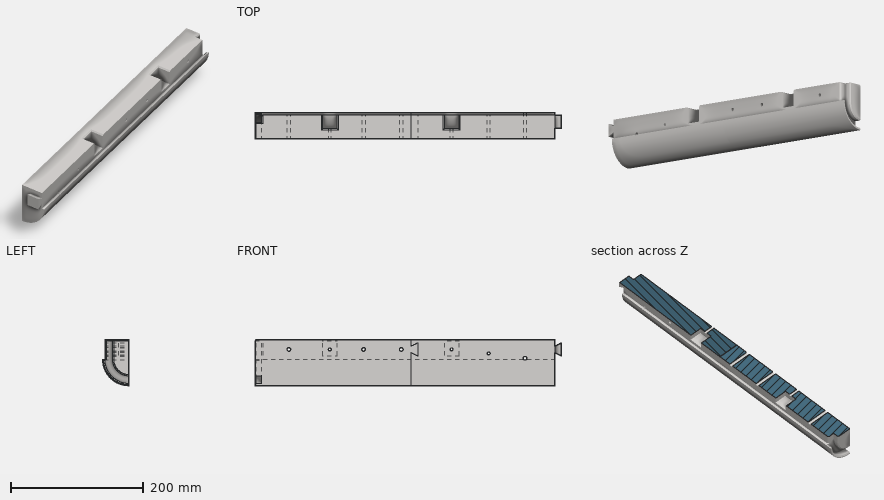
import cadquery as cq
import math

height = 70.0
base_radius = 40.0
lip_width = 4.0
upper_depth = base_radius - lip_width
joint_x = 236.0
end_x = 453.0

chamfer = 2.0
mouth_chamfer_depth = 1.3

edge_slack = 0.5

tongue_length = 10.0
tongue_root = 10.0
tongue_tip = 20.0
tongue_z = 55.0
end_tongue_depth = 20.0

groove_length = 10.0
groove_inner_radius = 25.0
groove_outer_radius = 36.5

notch_width = 22.0
notch_depth = 20.5
notch_floor_z = tongue_z - tongue_tip / 2
left_notch_x = 113.0
right_notch_x = 297.0

large_hole = 5.2
small_hole = 4.2
hole_z = tongue_z
left_holes = [
    (51.0, hole_z, large_hole),
    (left_notch_x, hole_z, small_hole),
    (164.0, hole_z, large_hole),
    (221.0, hole_z, large_hole),
]
right_holes = [
    (right_notch_x, hole_z, small_hole),
    (353.0, 49.0, small_hole),
    (408.0, 41.7, large_hole),
]


def block(x0, x1, y0, y1, z0, z1):
    """Axis-aligned box between two corners."""
    return cq.Workplane("XY").box(x1 - x0, y1 - y0, z1 - z0, centered=False).translate((x0, y0, z0))


def section_base(x0, x1, radius):
    """Quarter round centred on the front face at the height of the base radius."""
    diagonal = radius * math.sqrt(0.5)
    return (
        cq.Workplane("YZ", origin=(x0, 0, 0))
        .moveTo(0, base_radius)
        .lineTo(radius, base_radius)
        .threePointArc((diagonal, base_radius - diagonal), (0, base_radius - radius))
        .close()
        .extrude(x1 - x0)
    )


def section_prism(x0, x1, radius, upper_y):
    """Quarter round of the given radius with an upright block above it, from x0 to x1."""
    return section_base(x0, x1, radius).union(block(x0, x1, 0, upper_y, base_radius, height))


def dovetail(root_x, y0, y1):
    """Tongue that starts narrow at root_x and widens toward +X."""
    tip_x = root_x + tongue_length
    return (
        cq.Workplane("XZ", origin=(0, y1, 0))
        .moveTo(root_x, tongue_z - tongue_root / 2)
        .lineTo(tip_x, tongue_z - tongue_tip / 2)
        .lineTo(tip_x, tongue_z + tongue_tip / 2)
        .lineTo(root_x, tongue_z + tongue_root / 2)
        .close()
        .extrude(y1 - y0)
    )


def chamfer_top_edges(body, x0, x1, y0, y1):
    """Chamfer the top-face edges whose centres lie inside the given rectangle."""
    low_corner = (x0 - edge_slack, y0 - edge_slack, height - edge_slack)
    high_corner = (x1 + edge_slack, y1 + edge_slack, height + edge_slack)
    return body.edges(cq.selectors.BoxSelector(low_corner, high_corner)).chamfer(chamfer)


def cut_notch(body, center_x):
    """Notch open at the top and rear, with its three top edges chamfered."""
    x0 = center_x - notch_width / 2
    x1 = center_x + notch_width / 2
    front_y = upper_depth - notch_depth
    body = body.cut(block(x0, x1, front_y, upper_depth, notch_floor_z, height))
    return chamfer_top_edges(body, x0, x1, front_y, upper_depth)


def wedge(plane, origin, leg_1, leg_2, length):
    """Right-triangle prism that cuts a chamfer along an edge starting at origin."""
    return (
        cq.Workplane(plane, origin=origin)
        .polyline([(0, 0), (leg_1, 0), (0, leg_2)])
        .close()
        .extrude(length)
    )


def quarter_cone(end_radius, inside_radius):
    """Rear lower quarter of a cone about the centre of the base arc, over the mouth depth."""
    center = cq.Vector(0, 0, base_radius)
    along_x = cq.Vector(1, 0, 0)
    cone = cq.Solid.makeCone(end_radius, inside_radius, mouth_chamfer_depth, center, along_x)
    quarter = block(0, mouth_chamfer_depth, 0, base_radius, 0, base_radius)
    return cq.Workplane(cone).intersect(quarter)


def groove_core():
    """Part of the body left standing inside the groove, chamfered at its end and top."""
    inner = groove_inner_radius
    upper_height = height - base_radius
    side_top_rim = wedge("YZ", (0, inner, height), -chamfer, -chamfer, groove_length)
    end_top_rim = wedge("XZ", (0, inner, height), mouth_chamfer_depth, -chamfer, inner)
    end_side_rim = wedge("XY", (0, inner, base_radius), mouth_chamfer_depth, -chamfer, upper_height)
    tip = quarter_cone(inner - chamfer, inner)
    end_curved_rim = section_base(0, mouth_chamfer_depth, inner).cut(tip)
    core = section_prism(0, groove_length, inner, inner)
    return core.cut(side_top_rim).cut(end_top_rim).cut(end_side_rim).cut(end_curved_rim)


def cut_groove(body):
    """J-shaped groove in the left end, open at the top, rear and front, with chamfered rims."""
    inner = groove_inner_radius
    outer = groove_outer_radius
    cutter = section_prism(0, groove_length, outer, outer)
    cutter = cutter.union(quarter_cone(outer + chamfer, outer))
    body = body.cut(cutter.cut(groove_core()))
    upper_height = height - base_radius
    rear = upper_depth
    lip_rim = wedge("YZ", (0, outer, base_radius), chamfer, -chamfer, groove_length)
    wall_rear_rim = wedge("XY", (groove_length, rear, base_radius), chamfer, -chamfer, upper_height)
    wall_top_rim = wedge("XZ", (groove_length, rear, height), chamfer, -chamfer, rear - inner + chamfer)
    return body.cut(lip_rim).cut(wall_rear_rim).cut(wall_top_rim)


def drill(body, holes):
    """Through holes along Y."""
    for x, z, diameter in holes:
        drill_bit = cq.Workplane("XZ", origin=(x, 0, z)).circle(diameter / 2).extrude(-base_radius)
        body = body.cut(drill_bit)
    return body


def make_left_body():
    """Left length: groove at its left end, full-depth tongue at the joint."""
    body = section_prism(0, joint_x, base_radius, upper_depth)
    body = cut_groove(body)
    body = cut_notch(body, left_notch_x)
    body = body.union(dovetail(joint_x, 0, upper_depth))
    return drill(body, left_holes)


def make_right_body():
    """Right length: socket for the joint tongue, shorter tongue at its right end."""
    body = section_prism(joint_x, end_x, base_radius, upper_depth)
    body = body.cut(dovetail(joint_x, 0, upper_depth))
    body = cut_notch(body, right_notch_x)
    body = body.union(dovetail(end_x, upper_depth - end_tongue_depth, upper_depth))
    return drill(body, right_holes)


left_body = make_left_body()
right_body = make_right_body()
result = cq.Compound.makeCompound([left_body.val(), right_body.val()])